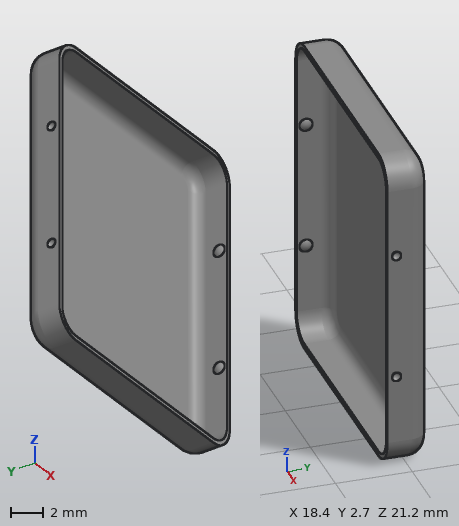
import cadquery as cq
import math

width = 18.4
depth = 2.7
height = 21.2
corner_radius = 1.8
back_edge_radius = 1.1

wall = 0.32
inner_edge_radius = back_edge_radius - wall

dent_radius = 0.3
dent_depth = 0.25
dome_radius = 0.42
dome_height = 0.17
dome_root = wall / 4
detent_spacing = 8.48
detent_setback = 0.6


def rounded_block(x_size, z_size, y_size, corner, back_edge):
    """Block from the rim plane toward +Y, with rounded corners and back edge."""
    block = cq.Workplane("XZ").rect(x_size, z_size).extrude(-y_size)
    return block.edges("|Y").fillet(corner).faces(">Y").edges().fillet(back_edge)


def spherical_cap(radius, cap_height, root=0.0):
    """Cap on the YZ plane rising toward +X, with an optional cylindrical root below it."""
    sphere_radius = (radius**2 + cap_height**2) / (2 * cap_height)
    centre_x = cap_height - sphere_radius
    half_angle = math.atan2(radius, -centre_x) / 2
    arc_middle = (
        centre_x + sphere_radius * math.cos(half_angle),
        sphere_radius * math.sin(half_angle),
    )
    profile = cq.Workplane("XY").moveTo(-root, 0).lineTo(-root, radius)
    if root > 0:
        profile = profile.lineTo(0, radius)
    profile = profile.threePointArc(arc_middle, (cap_height, 0)).close()
    return profile.revolve(360, (0, 0, 0), (1, 0, 0))


shell = rounded_block(width, height, depth, corner_radius, back_edge_radius)
cavity = rounded_block(
    width - 2 * wall,
    height - 2 * wall,
    depth - wall,
    corner_radius - wall,
    inner_edge_radius,
)

tray = shell.cut(cavity)

dome = spherical_cap(dome_radius, dome_height, dome_root)
dent = spherical_cap(dent_radius, dent_depth)
for side, wall_angle in ((-1, 0), (1, 180)):
    facing_dome = dome.rotate((0, 0, 0), (0, 0, 1), wall_angle)
    facing_dent = dent.rotate((0, 0, 0), (0, 0, 1), wall_angle)
    outer_face_x = side * width / 2
    inner_face_x = side * (width / 2 - wall)
    for z in (-detent_spacing / 2, detent_spacing / 2):
        tray = tray.union(facing_dome.translate((inner_face_x, detent_setback, z)))
        tray = tray.cut(facing_dent.translate((outer_face_x, detent_setback, z)))

result = tray